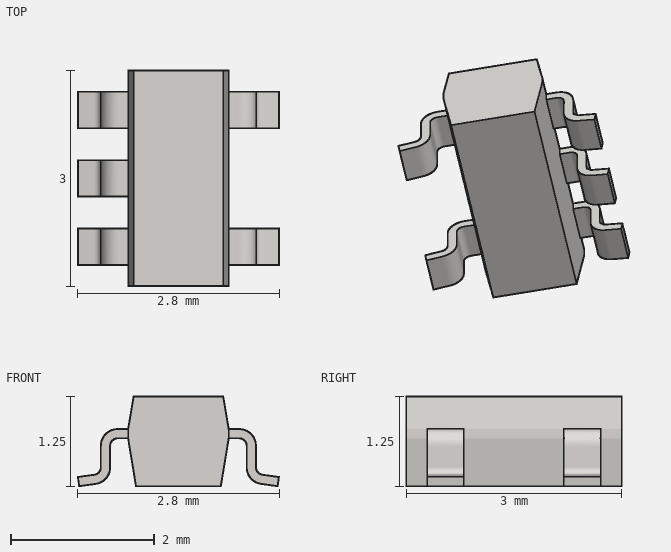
import cadquery as cq
import math

BODY_LENGTH = 3.0
BODY_HEIGHT = 1.25
BODY_WIDTH = 1.4
BODY_TOP_WIDTH = 1.248
BODY_BOTTOM_WIDTH = 1.182

LEAD_SPAN = 2.8
LEAD_THICKNESS = 0.132
LEAD_WIDTH = 0.51
LEAD_PITCH = 0.95
LEAD_TOP_Z = 0.798
LEAD_BOTTOM_Z = LEAD_TOP_Z - LEAD_THICKNESS
SHANK_OUTER_X = 1.08
INNER_BEND_RADIUS = 0.102
OUTER_BEND_RADIUS = INNER_BEND_RADIUS + LEAD_THICKNESS
FOOT_ANGLE = 8.0

LEFT_LEAD_ROWS = (-1, 0, 1)
RIGHT_LEAD_ROWS = (-1, 1)


def make_body():
    """Six-sided profile with a vertical band at lead height, centred on Y."""
    right_side = [
        (BODY_BOTTOM_WIDTH / 2, 0),
        (BODY_WIDTH / 2, LEAD_BOTTOM_Z),
        (BODY_WIDTH / 2, LEAD_TOP_Z),
        (BODY_TOP_WIDTH / 2, BODY_HEIGHT),
    ]
    left_side = [(-x, z) for x, z in reversed(right_side)]
    profile = cq.Workplane("XZ").polyline(right_side + left_side).close()
    return profile.extrude(BODY_LENGTH / 2, both=True)


def polar(center, radius, degrees):
    """Point on a circle in the XZ plane, with the angle measured from +X towards +Z."""
    angle = math.radians(degrees)
    return (center[0] + radius * math.cos(angle), center[1] + radius * math.sin(angle))


def make_right_lead():
    """Lead on the +X side: shoulder, bend, vertical shank, bend and sloping foot."""
    root_x = BODY_WIDTH / 2
    slope = math.radians(FOOT_ANGLE)
    shoulder_center = (SHANK_OUTER_X - OUTER_BEND_RADIUS, LEAD_TOP_Z - OUTER_BEND_RADIUS)

    tip_top = (LEAD_SPAN / 2, LEAD_THICKNESS * math.cos(slope))
    tip_bottom = (tip_top[0] - LEAD_THICKNESS * math.sin(slope), 0)

    ankle_x = SHANK_OUTER_X + INNER_BEND_RADIUS
    foot_run = tip_bottom[0] - ankle_x
    ankle_center = (ankle_x, foot_run * math.tan(slope) + OUTER_BEND_RADIUS / math.cos(slope))
    ankle_end = 270 - FOOT_ANGLE
    ankle_middle = (180 + ankle_end) / 2

    profile = (
        cq.Workplane("XZ")
        .moveTo(root_x, LEAD_TOP_Z)
        .lineTo(shoulder_center[0], LEAD_TOP_Z)
        .threePointArc(
            polar(shoulder_center, OUTER_BEND_RADIUS, 45),
            polar(shoulder_center, OUTER_BEND_RADIUS, 0),
        )
        .lineTo(SHANK_OUTER_X, ankle_center[1])
        .threePointArc(
            polar(ankle_center, INNER_BEND_RADIUS, ankle_middle),
            polar(ankle_center, INNER_BEND_RADIUS, ankle_end),
        )
        .lineTo(*tip_top)
        .lineTo(*tip_bottom)
        .lineTo(*polar(ankle_center, OUTER_BEND_RADIUS, ankle_end))
        .threePointArc(
            polar(ankle_center, OUTER_BEND_RADIUS, ankle_middle),
            polar(ankle_center, OUTER_BEND_RADIUS, 180),
        )
        .lineTo(*polar(shoulder_center, INNER_BEND_RADIUS, 0))
        .threePointArc(
            polar(shoulder_center, INNER_BEND_RADIUS, 45),
            polar(shoulder_center, INNER_BEND_RADIUS, 90),
        )
        .lineTo(root_x, LEAD_BOTTOM_Z)
        .close()
    )
    return profile.extrude(LEAD_WIDTH / 2, both=True)


body = make_body()
right_lead = make_right_lead()
left_lead = right_lead.mirror("YZ")

leads = []
for row in LEFT_LEAD_ROWS:
    leads.append(left_lead.translate((0, row * LEAD_PITCH, 0)).val())
for row in RIGHT_LEAD_ROWS:
    leads.append(right_lead.translate((0, row * LEAD_PITCH, 0)).val())

result = cq.Compound.makeCompound([body.val(), *leads])